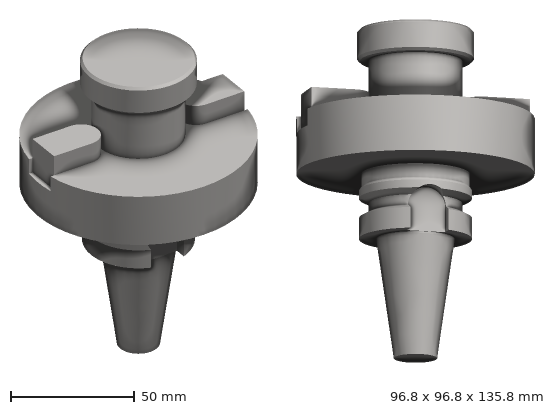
import cadquery as cq

taper_tip_radius = 8.8
taper_radius = 15.9
taper_height = 48.7

flange_bottom = 49.4
flange_radius = 23.0
groove_radius = 19.0
groove_bevel_height = 2.0
lower_rim_top = 58.0
groove_bottom = lower_rim_top + groove_bevel_height
groove_top = 64.1
upper_rim_bottom = groove_top + groove_bevel_height
upper_rim_top = 69.4
flange_top = 70.6

neck_radius = 22.0
disc_radius = 96.8 / 2
disc_bottom = 76.3
disc_top = 99.3
spigot_radius = 19.0
head_radius = 23.8
head_bottom = 123.0
head_chamfer = 1.1
total_height = 135.8

drive_slot_width = 16.0
drive_slot_top = 67.6
drive_slot_floor = 16.3

key_width = 16.0
key_inner_end = 19.7
key_outer_end = 46.0
key_bottom = 92.3
key_top = 108.4


def turned_body():
    """Complete revolved profile, given as radius and height."""
    profile = [
        (0, 0),
        (taper_tip_radius, 0),
        (taper_radius, taper_height),
        (taper_radius, flange_bottom),
        (flange_radius, flange_bottom),
        (flange_radius, lower_rim_top),
        (groove_radius, groove_bottom),
        (groove_radius, groove_top),
        (flange_radius, upper_rim_bottom),
        (flange_radius, upper_rim_top),
        (neck_radius, flange_top),
        (neck_radius, disc_bottom),
        (disc_radius, disc_bottom),
        (disc_radius, disc_top),
        (spigot_radius, disc_top),
        (spigot_radius, head_bottom),
        (head_radius - head_chamfer, head_bottom),
        (head_radius, head_bottom + head_chamfer),
        (head_radius, total_height - head_chamfer),
        (head_radius - head_chamfer, total_height),
        (0, total_height),
    ]
    return cq.Workplane("XZ").polyline(profile).close().revolve(360, (0, 0), (0, 1))


def drive_slot(side):
    """Round-topped slot cutter with a flat floor; side is +1 or -1 along X."""
    half_width = drive_slot_width / 2
    arc_center = drive_slot_top - half_width
    return (
        cq.Workplane("YZ", origin=(side * drive_slot_floor, 0, 0))
        .moveTo(-half_width, flange_bottom)
        .lineTo(-half_width, arc_center)
        .threePointArc((0, drive_slot_top), (half_width, arc_center))
        .lineTo(half_width, flange_bottom)
        .close()
        .extrude(side * (flange_radius - drive_slot_floor))
    )


def round_ended_bar(side, outer_end):
    """Upright bar with a round inner end; side is +1 or -1 along Y."""
    half_width = key_width / 2
    arc_center = side * (key_inner_end + half_width)
    return (
        cq.Workplane("XY", origin=(0, 0, key_bottom))
        .moveTo(-half_width, side * outer_end)
        .lineTo(-half_width, arc_center)
        .threePointArc((0, side * key_inner_end), (half_width, arc_center))
        .lineTo(half_width, side * outer_end)
        .close()
        .extrude(key_top - key_bottom)
    )


result = turned_body()
for side in (1, -1):
    result = result.cut(drive_slot(side))
    result = result.cut(round_ended_bar(side, disc_radius))
    result = result.union(round_ended_bar(side, key_outer_end))